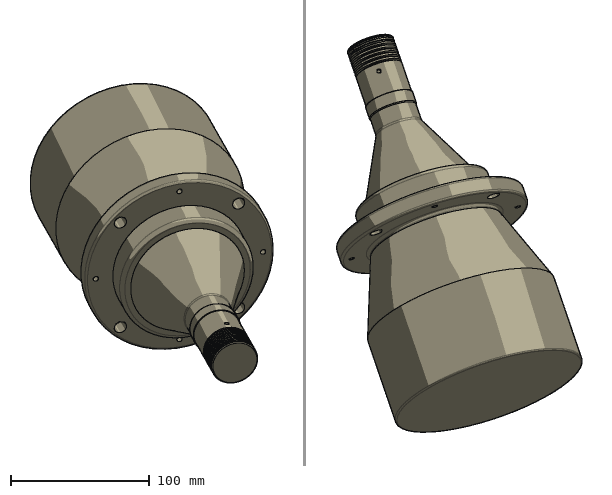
import cadquery as cq
import math

total_length = 276.5

drum_radius = 71.0
drum_length = 65.0
drum_edge_fillet = 1.0
neck_radius = 49.8
neck_start = 123.0

flange_radius = drum_radius
flange_start = 126.0
flange_thickness = 12.5
flange_edge_fillet = 1.7
neck_fillet = 2.2
hole_circle_radius = 63.0
bolt_hole_diameter = 9.0
pin_hole_diameter = 4.0
holes_per_set = 4

hub_radius = 50.3
hub_end = 158.5
hub_edge_fillet = 3.0

shaft_radius = 17.5
rear_cone_radius = 42.9
rear_cone_end = 209.3
cone_blend_radius = 3.5

collar_radius = 18.0
collar_start = 222.3
collar_end = 232.0
collar_lead = 0.8

groove_start = 255.5
groove_pitch = 3.0
groove_width = 1.52
deep_groove_depth = 3.0
shallow_groove_depth = 1.52
deep_groove_count = 5
shallow_groove_count = 2
shaft_end_chamfer = 0.8

dimple_x = 250.0
dimple_y = 2.0
dimple_diameter = 3.0
dimple_depth = 2.8

flange_end = flange_start + flange_thickness


def disc(radius, start, end):
    """Cylinder about the X axis between two X positions."""
    return cq.Workplane("YZ", origin=(start, 0, 0)).circle(radius).extrude(end - start)


def turned(points):
    """Solid of revolution about the X axis from (x, radius) points."""
    start_x = points[0][0]
    end_x = points[-1][0]
    outline = [(start_x, 0)] + points + [(end_x, 0)]
    return cq.Workplane("XY").polyline(outline).close().revolve(360, (0, 0, 0), (1, 0, 0))


def front_body():
    """Drum, taper and neck, flared into the flange by a concave fillet."""
    body = turned([
        (0, drum_radius),
        (drum_length, drum_radius),
        (neck_start, neck_radius),
        (flange_start - neck_fillet, neck_radius),
    ])
    body = body.faces("<X").edges().fillet(drum_edge_fillet)
    sideways = neck_fillet * math.sin(math.radians(45))
    flare_start = flange_start - neck_fillet
    flare = (
        cq.Workplane("XY")
        .moveTo(flare_start, 0)
        .lineTo(flare_start, neck_radius)
        .threePointArc(
            (flare_start + sideways, neck_radius + neck_fillet - sideways),
            (flange_start, neck_radius + neck_fillet),
        )
        .lineTo(flange_start, 0)
        .close()
        .revolve(360, (0, 0, 0), (1, 0, 0))
    )
    return body.union(flare)


def flange():
    """Rounded disc with alternating bolt holes and pin holes on one circle."""
    plate = disc(flange_radius, flange_start, flange_end).edges().fillet(flange_edge_fillet)
    for diameter, first_angle in ((bolt_hole_diameter, 45), (pin_hole_diameter, 0)):
        holes = (
            cq.Workplane("YZ", origin=(flange_start, 0, 0))
            .polarArray(hole_circle_radius, first_angle, 360, holes_per_set)
            .circle(diameter / 2)
            .extrude(flange_thickness)
        )
        plate = plate.cut(holes)
    return plate


def hub():
    return disc(hub_radius, flange_end, hub_end).faces(">X").edges().fillet(hub_edge_fillet)


def rear_cone_and_shaft():
    """Cone blended into the shaft, with a chamfered shaft end."""
    body = turned([
        (hub_end, rear_cone_radius),
        (rear_cone_end, shaft_radius),
        (total_length, shaft_radius),
    ])
    blend_edge = cq.selectors.BoxSelector(
        (rear_cone_end - cone_blend_radius, -shaft_radius, -shaft_radius),
        (rear_cone_end + cone_blend_radius, shaft_radius, shaft_radius),
    )
    body = body.edges("%CIRCLE").edges(blend_edge).fillet(cone_blend_radius)
    return body.faces(">X").edges().chamfer(shaft_end_chamfer)


def collar():
    return turned([
        (collar_start, shaft_radius),
        (collar_start + collar_lead, collar_radius),
        (collar_end, collar_radius),
    ])


def ring_grooves():
    """Square ring cutters spaced along the shaft end."""
    depths = [deep_groove_depth] * deep_groove_count
    depths += [shallow_groove_depth] * shallow_groove_count
    cutters = cq.Workplane("XY")
    for index, depth in enumerate(depths):
        start = groove_start + index * groove_pitch
        end = start + groove_width
        ring = disc(collar_radius, start, end).cut(disc(shaft_radius - depth, start, end))
        cutters = cutters.add(ring)
    return cutters.combine()


def dimple():
    """Cutter reaching a set depth below the top of the shaft."""
    floor_height = shaft_radius - dimple_depth
    return (
        cq.Workplane("XY", origin=(dimple_x, dimple_y, floor_height))
        .circle(dimple_diameter / 2)
        .extrude(2 * dimple_depth)
    )


result = (
    front_body()
    .union(flange())
    .union(hub())
    .union(rear_cone_and_shaft())
    .union(collar())
    .cut(ring_grooves())
    .cut(dimple())
)